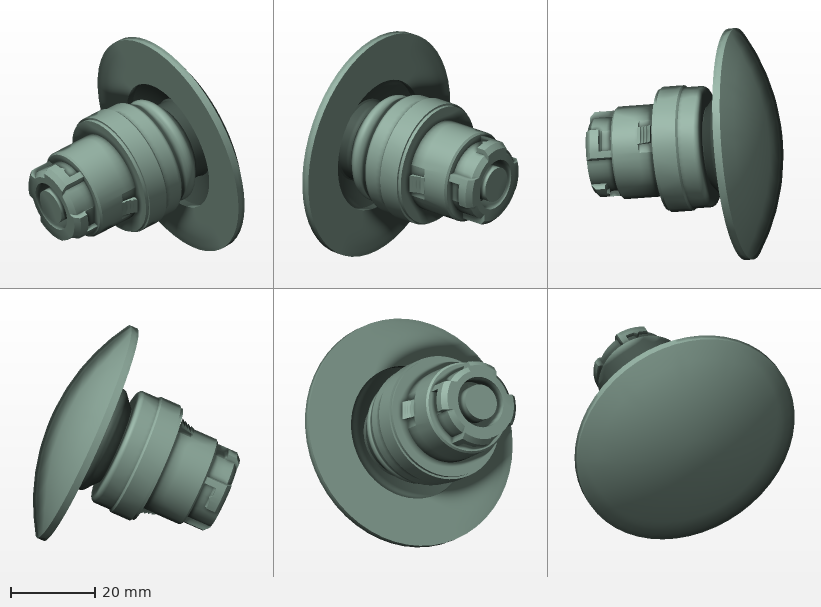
import cadquery as cq
import math


head_radius = 27.5
head_apex_y = 27.55
head_rim_top_y = 19.35
head_rim_bottom_y = 17.55

recess_radius = 16.05
recess_wall_height = 1.8
bowl_depth = 4.8

neck_radius = 9.7
neck_flare_y = 22.0
neck_flare = 0.45
bead_radius = 13.05
bead_round = 1.6
bead_y = 14.9
bead_flank_angle = math.radians(50)

collar_radius = 14.4
collar_height = 11.2
collar_round = 1.15
band_radius = 14.9
band_bottom_y = 0.8
band_top_y = 5.8
band_bevel = 0.5

barrel_radius = 11.0
barrel_end_y = -10.8
barrel_chamfer = 0.45
clip_flat_x = 10.25
clip_flat_width = 8.15
clip_flat_end_y = -4.1
clip_flat_foot_chamfer = 0.2
clip_width = 4.2
clip_foot_y = -4.35
clip_top_y = -0.95
clip_foot_x = 11.0
clip_foot_inner_x = 10.55
clip_top_x = 12.2
clip_top_inner_x = 11.05
clip_tooth_count = 4
clip_tooth_depth = 0.45

bayonet_end_y = -17.2
bayonet_chamfer = 1.15
core_radius = 8.8
lug_radius = 10.1
lug_left = 2.75
lug_right = 4.25
notch_half_width = 2.75
notch_end_y = -13.9
notch_foot_chamfer = 0.5
side_notch_floor = 8.4
tooth_half_width = 0.65
tooth_height = 0.65

bore_floor_radius = 5.8
bore_mouth_radius = 6.1
bore_depth = 4.4
plunger_radius = 4.25
plunger_end_y = -17.45
key_width = 2.25
key_reach = 5.05
key_rise = 0.35

OVERLAP = 0.55


def turned(outline):
    """Revolve a closed (radius, Y) outline about the Y axis."""
    return outline.close().revolve(360, (0, 0, 0), (0, 1, 0))


def disc(radius, y_start, y_end):
    return turned(
        cq.Workplane("XY")
        .moveTo(0, y_start)
        .lineTo(radius, y_start)
        .lineTo(radius, y_end)
        .lineTo(0, y_end)
    )


def box(x_start, x_end, y_start, y_end, z_start, z_end):
    size = (x_end - x_start, y_end - y_start, z_end - z_start)
    return cq.Workplane("XY").box(*size, centered=False).translate((x_start, y_start, z_start))


def quarter_turn(body, turns):
    return body.rotate((0, 0, 0), (0, 1, 0), 90 * turns)


def cap_middle(rim_radius, height, rim_y):
    """Point halfway in radius on the arc of a spherical cap."""
    sphere_radius = (rim_radius**2 + height**2) / (2 * height)
    middle_radius = rim_radius / 2
    centre_y = rim_y + height - sphere_radius
    return middle_radius, centre_y + math.sqrt(sphere_radius**2 - middle_radius**2)


def make_head():
    dome_height = head_apex_y - head_rim_top_y
    head = turned(
        cq.Workplane("XY")
        .moveTo(0, head_rim_bottom_y)
        .lineTo(head_radius, head_rim_bottom_y)
        .lineTo(head_radius, head_rim_top_y)
        .threePointArc(cap_middle(head_radius, dome_height, head_rim_top_y), (0, head_apex_y))
    )
    bowl_y = head_rim_bottom_y + recess_wall_height
    recess = turned(
        cq.Workplane("XY")
        .moveTo(0, head_rim_bottom_y)
        .lineTo(recess_radius, head_rim_bottom_y)
        .lineTo(recess_radius, bowl_y)
        .threePointArc(cap_middle(recess_radius, bowl_depth, bowl_y), (0, bowl_y + bowl_depth))
    )
    return head.cut(recess)


def make_neck():
    neck_top = head_rim_bottom_y + recess_wall_height + bowl_depth + OVERLAP
    centre_radius = bead_radius - bead_round
    tangent_radius = centre_radius + bead_round * math.cos(bead_flank_angle)
    tangent_y = bead_round * math.sin(bead_flank_angle)
    flank_rise = (tangent_radius - neck_radius) / math.tan(bead_flank_angle)
    return turned(
        cq.Workplane("XY")
        .moveTo(0, collar_height - OVERLAP)
        .lineTo(neck_radius, collar_height - OVERLAP)
        .lineTo(neck_radius, bead_y - tangent_y - flank_rise)
        .lineTo(tangent_radius, bead_y - tangent_y)
        .threePointArc((bead_radius, bead_y), (tangent_radius, bead_y + tangent_y))
        .lineTo(neck_radius, bead_y + tangent_y + flank_rise)
        .lineTo(neck_radius, neck_flare_y)
        .lineTo(neck_radius + neck_flare, neck_flare_y + neck_flare)
        .lineTo(neck_radius + neck_flare, neck_top)
        .lineTo(0, neck_top)
    )


def make_collar():
    collar = disc(collar_radius, 0, collar_height).faces(">Y").edges().fillet(collar_round)
    band = disc(band_radius, band_bottom_y, band_top_y + band_bevel)
    band = band.faces(">Y").edges().chamfer(band_bevel)
    return collar.union(band)


def make_clip():
    """Serrated spring clip on the +X side, leaning outwards from its foot."""
    pitch = (clip_top_y - clip_foot_y) / clip_tooth_count
    lean = (clip_top_x - clip_foot_x) / clip_tooth_count
    outline = cq.Workplane("XY").moveTo(clip_foot_inner_x, clip_foot_y).lineTo(clip_foot_x, clip_foot_y)
    for tooth in range(1, clip_tooth_count + 1):
        crest_x = clip_foot_x + tooth * lean
        crest_y = clip_foot_y + tooth * pitch
        outline = outline.lineTo(crest_x, crest_y)
        if tooth < clip_tooth_count:
            outline = outline.lineTo(crest_x - clip_tooth_depth, crest_y)
    outline = outline.lineTo(clip_top_inner_x, clip_top_y).close()
    return outline.extrude(clip_width / 2, both=True)


def make_barrel():
    barrel = disc(barrel_radius, barrel_end_y, OVERLAP).faces("<Y").edges().chamfer(barrel_chamfer)
    clip = make_clip()
    flat = (
        cq.Workplane("XY")
        .moveTo(clip_flat_x, 0)
        .lineTo(barrel_radius + OVERLAP, 0)
        .lineTo(barrel_radius + OVERLAP, clip_flat_end_y)
        .lineTo(clip_flat_x + clip_flat_foot_chamfer, clip_flat_end_y)
        .lineTo(clip_flat_x, clip_flat_end_y + clip_flat_foot_chamfer)
        .close()
        .extrude(clip_flat_width / 2, both=True)
    )
    for turns in (0, 2):
        barrel = barrel.cut(quarter_turn(flat, turns))
        barrel = barrel.union(quarter_turn(clip, turns))
    return barrel


def make_notch():
    """Space behind the top lug, with a bevel at the foot of its end wall."""
    start_y = barrel_end_y
    profile = (
        cq.Workplane("XY")
        .moveTo(core_radius, start_y)
        .lineTo(lug_radius + OVERLAP, start_y)
        .lineTo(lug_radius + OVERLAP, notch_end_y)
        .lineTo(core_radius + notch_foot_chamfer, notch_end_y)
        .lineTo(core_radius, notch_end_y + notch_foot_chamfer)
    )
    return turned(profile).intersect(
        box(-notch_half_width, notch_half_width, notch_end_y, start_y, 0, lug_radius + OVERLAP)
    )


def make_side_notch():
    """Space behind a side lug: as behind the top lug, but with a flat floor."""
    top = lug_radius + OVERLAP
    return (
        cq.Workplane("YZ")
        .moveTo(barrel_end_y, side_notch_floor)
        .lineTo(barrel_end_y, top)
        .lineTo(notch_end_y, top)
        .lineTo(notch_end_y, side_notch_floor + notch_foot_chamfer)
        .lineTo(notch_end_y + notch_foot_chamfer, side_notch_floor)
        .close()
        .extrude(notch_half_width, both=True)
    )


def make_tooth():
    """Pointed locating tooth on the end wall of the top notch."""
    wedge = (
        cq.Workplane("XY")
        .moveTo(-tooth_half_width, notch_end_y)
        .lineTo(tooth_half_width, notch_end_y)
        .lineTo(0, notch_end_y + tooth_height)
        .close()
        .extrude(lug_radius)
    )
    return wedge.intersect(disc(lug_radius, bayonet_end_y, 0))


def make_bayonet():
    start_y = barrel_end_y + OVERLAP
    plain_core = disc(core_radius, bayonet_end_y, start_y)
    core = plain_core.faces("<Y").edges().chamfer(bayonet_chamfer)
    core = core.union(plain_core.intersect(box(0, core_radius, bayonet_end_y, start_y, -core_radius, 0)))

    lug_ring = disc(lug_radius, bayonet_end_y, start_y).faces("<Y").edges().chamfer(bayonet_chamfer)
    lug = lug_ring.intersect(box(-lug_left, lug_right, bayonet_end_y, start_y, 0, lug_radius))
    for turns in range(4):
        core = core.union(quarter_turn(lug, turns))
    for turns in range(4):
        notch = make_notch() if turns % 2 == 0 else make_side_notch()
        core = core.cut(quarter_turn(notch, turns))
    for turns in (0, 2):
        core = core.union(quarter_turn(make_tooth(), turns))
    return core


def make_bore():
    """Blind bore, tapering slightly towards its floor."""
    floor_y = bayonet_end_y + bore_depth
    return turned(
        cq.Workplane("XY")
        .moveTo(0, bayonet_end_y)
        .lineTo(bore_mouth_radius, bayonet_end_y)
        .lineTo(bore_floor_radius, floor_y)
        .lineTo(0, floor_y)
    )


def make_plunger():
    floor_y = bayonet_end_y + bore_depth
    plunger = disc(plunger_radius, plunger_end_y, floor_y + OVERLAP)
    key = (
        cq.Workplane("YZ")
        .moveTo(floor_y + OVERLAP, 0)
        .lineTo(floor_y + OVERLAP, key_reach)
        .lineTo(floor_y, key_reach)
        .lineTo(floor_y - key_rise, plunger_radius)
        .lineTo(floor_y - key_rise, 0)
        .close()
        .extrude(key_width / 2, both=True)
    )
    for turns in (0, 2):
        plunger = plunger.union(quarter_turn(key, turns))
    return plunger


result = (
    make_head()
    .union(make_neck())
    .union(make_collar())
    .union(make_barrel())
    .union(make_bayonet())
    .cut(make_bore())
    .union(make_plunger())
)